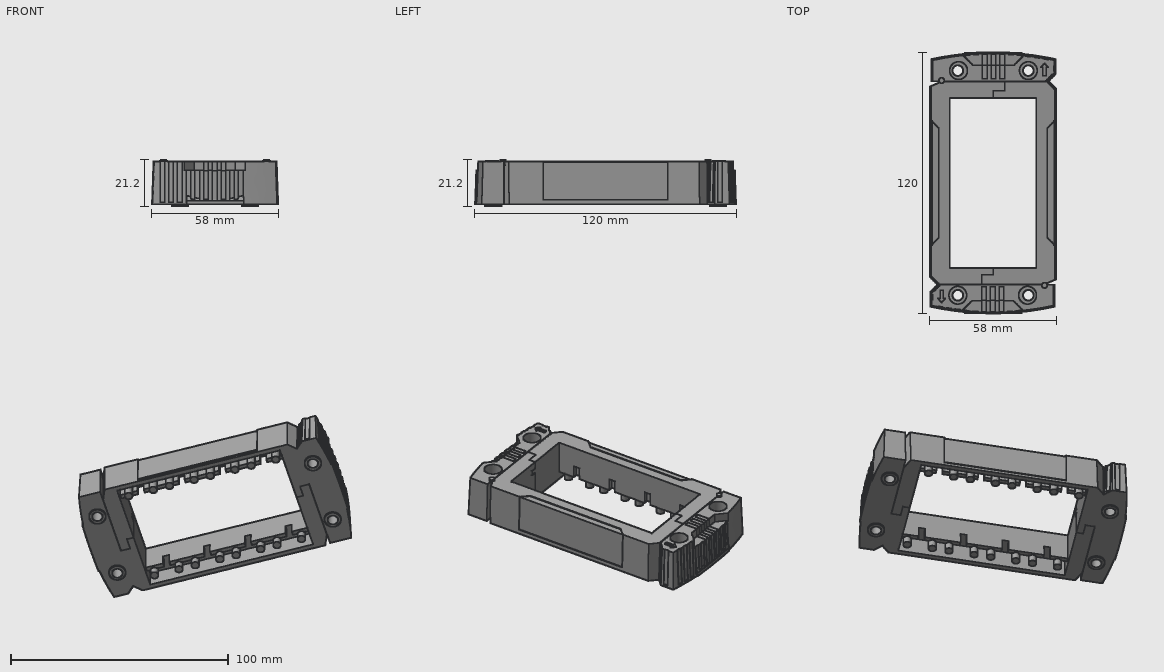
import cadquery as cq

height = 19.8
frame_half_width = 29.0
cap_front = 60.0
draft_angle = 2.0

opening_half_width = 19.8
opening_half_length = 39.0
frame_end = 46.7
frame_chamfer = 3.5
lead_in_start = 44.3
lead_in_slope = 0.43
outline_overrun = 2.6
slit_width = 0.1
slit_groove_depth = 0.6

seam_offset = 5.3
seam_step = 42.2
tab_length = 2.5
tab_bottom = 13.8
tab_top = 16.2

panel_half_length = 28.5
panel_inner_x = 24.8
panel_end_run = 3.5
panel_bottom = 2.2
panel_depth = 0.4

inner_wall = 1.9
outer_wall = 2.2
inner_wall_bottom = 3.8
cavity_height = 9.7
notch_width = 3.0
notch_pitch = 19.5
notch_count = 4
post_radius = 1.8
post_x = 22.5
post_spread = 5.9
post_shift = 0.5

cap_plain_end = 28.4
cap_notched_end = 28.8
cap_corner = 56.9
cap_chamfer = 3.4

grip_center = -0.18
grip_recess_depth = 4.1
grip_recess_back = 54.1
grip_recess_half_width = 9.5
groove_width = 2.2
first_groove = -6
last_groove = 3
groove_span = 36.0
groove_pitch = groove_span / (last_groove - first_groove)
wall_groove_depth = 0.3
top_groove_depth = 0.1
groove_bottom = 1.1
side_groove_y = 52.5
top_groove_back = 47.7
plinth_half_width = 13.1
plinth_height = 1.8
plinth_end = 59.7
plinth_ledge = 0.2
plinth_slope_run = 1.0
plinth_slope_rise = 2.6

hole_x = 16.2
hole_y = 51.6
hole_diameter = 4.8
counterbore_diameter = 8.2
plain_end_counterbore_x = 15.8
counterbore_depth = 12.0
foot_x = 16.1
foot_diameter = 7.7
foot_height = 0.7

pin_x = 23.6
pin_y = 47.0
pin_diameter = 2.5
pin_bottom = 18.0
pin_rise = 0.7

arrow_x = 23.6
arrow_tail = 49.2
arrow_neck = 53.0
arrow_tip = 54.9
arrow_shaft_width = 1.4
arrow_head_width = 3.5
arrow_rise = 0.4

reach = 72.0


def box(x_range, y_range, z_range):
    """Box between two limits along each axis."""
    sizes = [end - start for start, end in (x_range, y_range, z_range)]
    corner = cq.Vector(x_range[0], y_range[0], z_range[0])
    return cq.Workplane(cq.Solid.makeBox(*sizes, corner))


def prism(points, bottom, top):
    """Vertical prism over a closed polygon."""
    return cq.Workplane("XY").workplane(offset=bottom).polyline(points).close().extrude(top - bottom)


def cylinder(x, y, radius, bottom, top):
    """Vertical cylinder."""
    return cq.Workplane("XY").workplane(offset=bottom).center(x, y).circle(radius).extrude(top - bottom)


def drafted(outline, inset):
    """Block tapering upward from an outline moved inward by the inset."""
    if inset > 0:
        outline = outline.offset2D(-inset)
    return outline.extrude(height, taper=draft_angle)


def frame_block(inset=0.0):
    """Drafted outer form of the whole frame, with one chamfered corner at each end."""
    end = frame_end + outline_overrun
    chamfer_start = frame_end - frame_chamfer
    chamfer_x = frame_half_width - (end - chamfer_start)
    side_points = [
        (chamfer_x, end),
        (frame_half_width, chamfer_start),
        (frame_half_width, -end),
    ]
    turned_points = [(-x, -y) for x, y in side_points]
    return drafted(cq.Workplane("XY").polyline(side_points + turned_points).close(), inset)


def cap_block(inset=0.0):
    """Drafted outer form of the -Y end cap, running inward past its straight back edge."""
    back = frame_end - outline_overrun
    chamfer_x = cap_notched_end - cap_chamfer - outline_overrun
    outline = (
        cq.Workplane("XY")
        .moveTo(cap_plain_end, -back)
        .lineTo(cap_plain_end, -cap_corner)
        .threePointArc((0, -cap_front), (-cap_notched_end, -cap_corner))
        .lineTo(-cap_notched_end, -frame_end - cap_chamfer)
        .lineTo(-chamfer_x, -back)
        .close()
    )
    return drafted(outline, inset)


def make_frame_half():
    """-X part of the frame, cut along the stepped seam."""
    tongue_end = frame_end - slit_width
    plan = [
        (-reach, -frame_end),
        (-seam_offset, -frame_end),
        (-seam_offset, -seam_step),
        (0, -seam_step),
        (0, seam_step),
        (seam_offset, seam_step),
        (seam_offset, tongue_end),
        (-reach, tongue_end),
    ]
    opening = box(
        (-opening_half_width, opening_half_width),
        (-opening_half_length, opening_half_length),
        (0, height),
    )
    lead_in_run = (frame_end - lead_in_start) / lead_in_slope
    lead_in = prism(
        [
            (-frame_half_width, lead_in_start),
            (-frame_half_width + lead_in_run, frame_end),
            (-frame_half_width, frame_end),
        ],
        0,
        height,
    )
    tab = box((0, tab_length), (-seam_step, -opening_half_length), (tab_bottom, tab_top))
    tab_socket = box((-tab_length, 0), (opening_half_length, seam_step), (tab_bottom, tab_top))
    frame = frame_block().intersect(prism(plan, 0, height))
    return frame.cut(opening).cut(lead_in).union(tab).cut(tab_socket)


def make_side_panel_cut():
    """Thin layer taken off the top and the outer face of the long side."""
    edge_x = panel_inner_x + panel_end_run
    edge_y = panel_half_length
    inner_y = edge_y - panel_end_run
    plan = [
        (-reach, -edge_y),
        (-edge_x, -edge_y),
        (-panel_inner_x, -inner_y),
        (-panel_inner_x, inner_y),
        (-edge_x, edge_y),
        (-reach, edge_y),
    ]
    top_layer = prism(plan, height - panel_depth, height)
    side_zone = box((-reach, 0), (-edge_y, edge_y), (panel_bottom, height))
    side_layer = side_zone.cut(frame_block(panel_depth))
    return top_layer.union(side_layer)


def hollow_underside(half):
    """Cavity below the long side with a low notched inner wall and a pair of posts at each notch."""
    wall_x = (-opening_half_width - inner_wall, -opening_half_width)
    cavity_x = (-frame_half_width + outer_wall, wall_x[0])
    length = (-opening_half_length, opening_half_length)
    half = half.cut(box(cavity_x, length, (0, cavity_height)))
    half = half.cut(box(wall_x, length, (0, inner_wall_bottom)))
    for index in range(notch_count):
        y = (index - (notch_count - 1) / 2) * notch_pitch
        notch_y = (y - notch_width / 2, y + notch_width / 2)
        half = half.cut(box(wall_x, notch_y, (0, cavity_height)))
        for post_y in (y - post_shift - post_spread, y - post_shift + post_spread):
            half = half.union(cylinder(-post_x, post_y, post_radius, 0, cavity_height))
    return half


def make_grip_recess():
    """Step in the top front edge of the cap, with 45 degree ends."""
    run = cap_front - grip_recess_back
    plan = [
        (grip_center - grip_recess_half_width, -grip_recess_back),
        (grip_center + grip_recess_half_width, -grip_recess_back),
        (grip_center + grip_recess_half_width + run, -cap_front),
        (grip_center - grip_recess_half_width - run, -cap_front),
    ]
    return prism(plan, height - grip_recess_depth, height)


def make_wall_grooves():
    """Vertical grooves in the front, the notched corner and the notched end of the cap."""
    half_groove = groove_width / 2
    depth_range = (groove_bottom, height)
    chamfer_middle_x = cap_notched_end - cap_chamfer / 2
    chamfer_middle_y = frame_end + cap_chamfer / 2
    side_y = (-side_groove_y - half_groove, -side_groove_y + half_groove)
    zones = box((-reach, -hole_x), side_y, depth_range)
    corner_zone = box((-cap_chamfer, cap_chamfer), (-half_groove, half_groove), depth_range)
    corner_zone = corner_zone.rotate((0, 0, 0), (0, 0, 1), -45)
    zones = zones.union(corner_zone.translate((-chamfer_middle_x, -chamfer_middle_y, 0)))
    for index in range(first_groove, last_groove + 1):
        x = grip_center + index * groove_pitch
        zones = zones.union(box((x - half_groove, x + half_groove), (-reach, -frame_end), depth_range))
    return zones.cut(cap_block(wall_groove_depth))


def make_top_grooves():
    """Three grooves along Y over the top of the cap, down the step and across its floor."""
    half_groove = groove_width / 2
    step_back = -grip_recess_back + top_groove_depth
    floor = height - grip_recess_depth - top_groove_depth
    grooves = cq.Workplane("XY")
    for index in (-1, 0, 1):
        x = grip_center + index * groove_pitch
        width = (x - half_groove, x + half_groove)
        grooves = grooves.union(box(width, (-reach, -top_groove_back), (height - top_groove_depth, height)))
        grooves = grooves.union(box(width, (-reach, step_back), (floor, height)))
    return grooves


def make_plinth():
    """Gently curved foot of the grip with a narrow ledge and a sloping top."""
    ledge_back = -cap_front + plinth_ledge
    slope_top = plinth_height + plinth_slope_rise
    profile = [
        (-cap_front, 0),
        (-cap_front, plinth_height),
        (ledge_back, plinth_height),
        (ledge_back + plinth_slope_run, slope_top),
        (-grip_recess_back, slope_top),
        (-grip_recess_back, 0),
    ]
    bar = cq.Workplane("YZ").polyline(profile).close().extrude(plinth_half_width, both=True)
    plan = (
        cq.Workplane("XY")
        .moveTo(-plinth_half_width, -grip_recess_back)
        .lineTo(-plinth_half_width, -plinth_end)
        .threePointArc((0, -cap_front), (plinth_half_width, -plinth_end))
        .lineTo(plinth_half_width, -grip_recess_back)
        .close()
        .extrude(slope_top)
    )
    return bar.intersect(plan)


def make_arrow():
    """Raised arrow pointing to the front of the cap."""
    shaft = arrow_shaft_width / 2
    head = arrow_head_width / 2
    plan = [
        (-arrow_x - shaft, -arrow_tail),
        (-arrow_x + shaft, -arrow_tail),
        (-arrow_x + shaft, -arrow_neck),
        (-arrow_x + head, -arrow_neck),
        (-arrow_x, -arrow_tip),
        (-arrow_x - head, -arrow_neck),
        (-arrow_x - shaft, -arrow_neck),
    ]
    return prism(plan, height, height + arrow_rise)


def make_cap():
    """-Y end cap with grip, feet and counterbored screw holes."""
    cap = cap_block().intersect(box((-reach, reach), (-reach, -frame_end), (0, height)))
    cap = cap.cut(make_grip_recess()).cut(make_wall_grooves()).cut(make_top_grooves())
    cap = cap.union(make_plinth()).union(make_arrow())
    counterbore_bottom = height - counterbore_depth
    for side, counterbore_x in ((-1, -hole_x), (1, plain_end_counterbore_x)):
        cap = cap.union(cylinder(side * foot_x, -hole_y, foot_diameter / 2, -foot_height, 0))
        cap = cap.cut(cylinder(side * hole_x, -hole_y, hole_diameter / 2, -foot_height, height))
        cap = cap.cut(
            cylinder(counterbore_x, -hole_y, counterbore_diameter / 2, counterbore_bottom, height)
        )
    return cap


def make_half():
    """One half of the bezel: frame side, end cap and latch pin."""
    half = hollow_underside(make_frame_half().cut(make_side_panel_cut())).union(make_cap())
    slit_groove = box(
        (-reach, -seam_offset),
        (-frame_end, -frame_end + slit_width),
        (height - slit_groove_depth, height),
    )
    pin_socket = cylinder(-pin_x, pin_y, pin_diameter / 2, pin_bottom, height)
    pin = cylinder(pin_x, -pin_y, pin_diameter / 2, pin_bottom, height + pin_rise)
    return half.cut(slit_groove).cut(pin_socket).union(pin)


half = make_half()
halves = [half.rotate((0, 0, 0), (0, 0, 1), angle).val() for angle in (0, 180)]

result = cq.Compound.makeCompound(halves)